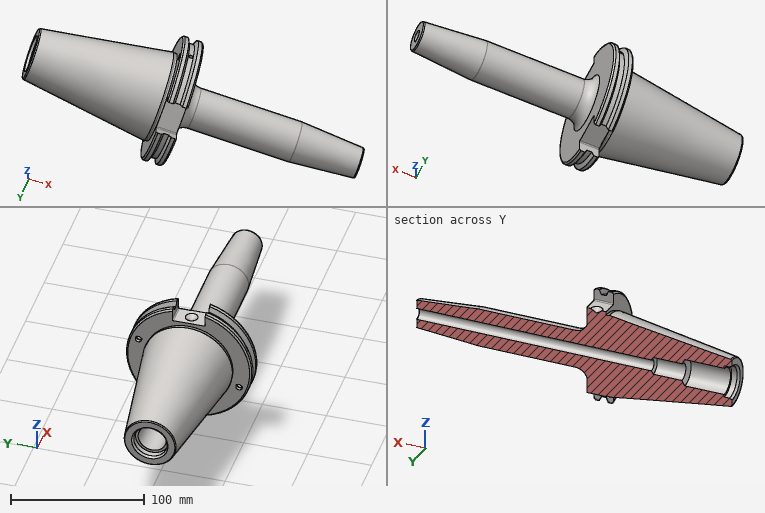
import cadquery as cq
import math

total_length = 261.5
gauge_x = 101.5
flange_start_x = 104.5
flange_end_x = 120.5
flange_middle_x = (flange_start_x + flange_end_x) / 2
nose_start_x = 210.5

taper_small_radius = 20.1
taper_large_radius = 35.0
relief_radius = 69.3 / 2
flange_radius = 98.0 / 2
neck_radius = 32.0 / 2
nose_radius = 12.0

end_chamfer_length = 1.0
end_chamfer_height = 0.5
flange_chamfer = 1.3
relief_step_length = 1.3
neck_fillet_radius = 10.0
neck_fillet_length = 9.5

groove_floor_radius = 45.3
groove_floor_width = 4.0
groove_mouth_width = 7.5

slot_width = 25.6
slot_corner_radius = 0.8
upper_slot_floor = 37.5
lower_slot_floor = 35.3
slot_hole_diameter = 9.5
slot_hole_point_angle = 118

mouth_diameter = 28.5
mouth_chamfer_length = 2.0
pilot_diameter = 26.2
pilot_depth = 6.5
thread_diameter = 22.0
thread_depth = 39.2
step_diameter = 13.9
step_depth = 65.5
through_diameter = 9.0
bore_cone_angle = 118

coolant_angle = 20
coolant_circle_radius = 41.9
coolant_mouth_diameter = 5.0
coolant_mouth_depth = 2.5
coolant_axial_diameter = 4.2
coolant_radial_diameter = 3.1


def make_body():
    """Taper, flange, neck and nose as one turned solid."""
    taper_slope = (taper_large_radius - taper_small_radius) / gauge_x
    taper_at_chamfer = taper_small_radius + taper_slope * end_chamfer_length
    fillet_end_x = flange_end_x + neck_fillet_length
    fillet_center_r = neck_radius + neck_fillet_radius
    fillet_start_r = fillet_center_r - math.sqrt(neck_fillet_radius**2 - neck_fillet_length**2)
    half_sweep = math.asin(neck_fillet_length / neck_fillet_radius) / 2
    fillet_middle = (
        fillet_end_x - neck_fillet_radius * math.sin(half_sweep),
        fillet_center_r - neck_fillet_radius * math.cos(half_sweep),
    )
    profile = (
        cq.Workplane("XY")
        .moveTo(0, 0)
        .lineTo(0, taper_small_radius - end_chamfer_height)
        .lineTo(end_chamfer_length, taper_at_chamfer)
        .lineTo(gauge_x, taper_large_radius)
        .lineTo(gauge_x + relief_step_length, relief_radius)
        .lineTo(flange_start_x, relief_radius)
        .lineTo(flange_start_x, flange_radius - flange_chamfer)
        .lineTo(flange_start_x + flange_chamfer, flange_radius)
        .lineTo(flange_end_x - flange_chamfer, flange_radius)
        .lineTo(flange_end_x, flange_radius - flange_chamfer)
        .lineTo(flange_end_x, fillet_start_r)
        .threePointArc(fillet_middle, (fillet_end_x, neck_radius))
        .lineTo(nose_start_x, neck_radius)
        .lineTo(total_length - end_chamfer_length, nose_radius)
        .lineTo(total_length, nose_radius - end_chamfer_height)
        .lineTo(total_length, 0)
        .close()
    )
    return profile.revolve(360, (0, 0, 0), (1, 0, 0))


def make_groove():
    """Ring with sloping walls, open at the flange rim."""
    half_floor = groove_floor_width / 2
    half_mouth = groove_mouth_width / 2
    return (
        cq.Workplane("XY")
        .moveTo(flange_middle_x - half_floor, groove_floor_radius)
        .lineTo(flange_middle_x + half_floor, groove_floor_radius)
        .lineTo(flange_middle_x + half_mouth, flange_radius)
        .lineTo(flange_middle_x - half_mouth, flange_radius)
        .close()
        .revolve(360, (0, 0, 0), (1, 0, 0))
    )


def make_slot(floor, side):
    """Drive slot through the flange width; side is +1 for up, -1 for down."""
    height = flange_radius - floor
    width = flange_end_x - flange_start_x
    slot = cq.Workplane("XY", origin=(flange_middle_x, 0, floor + height / 2)).box(width, slot_width, height)
    slot = slot.faces("<Z").edges("|X").fillet(slot_corner_radius)
    return slot if side > 0 else slot.mirror("XY")


def make_slot_hole():
    """Conical drill-point hole in the upper slot floor."""
    radius = slot_hole_diameter / 2
    point_depth = radius / math.tan(math.radians(slot_hole_point_angle / 2))
    return (
        cq.Workplane("XZ")
        .moveTo(0, upper_slot_floor)
        .lineTo(radius, upper_slot_floor)
        .lineTo(0, upper_slot_floor - point_depth)
        .close()
        .revolve(360, (0, 0, 0), (0, 1, 0))
        .translate((flange_middle_x, 0, 0))
    )


def cone_length(large_diameter, small_diameter):
    """Axial length of a drilled cone between two bore diameters."""
    return (large_diameter - small_diameter) / 2 / math.tan(math.radians(bore_cone_angle / 2))


def make_bore():
    """Stepped bore along the axis, with drilled cones below the thread and the step."""
    thread_cone_end = thread_depth + cone_length(thread_diameter, step_diameter)
    step_cone_end = step_depth + cone_length(step_diameter, through_diameter)
    return (
        cq.Workplane("XY")
        .moveTo(0, 0)
        .lineTo(0, mouth_diameter / 2)
        .lineTo(mouth_chamfer_length, pilot_diameter / 2)
        .lineTo(pilot_depth, pilot_diameter / 2)
        .lineTo(pilot_depth, thread_diameter / 2)
        .lineTo(thread_depth, thread_diameter / 2)
        .lineTo(thread_cone_end, step_diameter / 2)
        .lineTo(step_depth, step_diameter / 2)
        .lineTo(step_cone_end, through_diameter / 2)
        .lineTo(total_length, through_diameter / 2)
        .lineTo(total_length, 0)
        .close()
        .revolve(360, (0, 0, 0), (1, 0, 0))
    )


def make_coolant_hole():
    """Counterbored axial hole in the flange face, met by a radial hole from the groove."""
    axial = (
        cq.Workplane("YZ", origin=(flange_start_x, 0, 0))
        .center(coolant_circle_radius, 0)
        .circle(coolant_axial_diameter / 2)
        .extrude(flange_middle_x - flange_start_x)
    )
    mouth = (
        cq.Workplane("YZ", origin=(flange_start_x, 0, 0))
        .center(coolant_circle_radius, 0)
        .circle(coolant_mouth_diameter / 2)
        .extrude(coolant_mouth_depth)
    )
    radial = (
        cq.Workplane("XZ", origin=(flange_middle_x, coolant_circle_radius, 0))
        .circle(coolant_radial_diameter / 2)
        .extrude(coolant_circle_radius - flange_radius)
    )
    return axial.union(mouth).union(radial).rotate((0, 0, 0), (1, 0, 0), coolant_angle)


result = make_body().cut(make_groove())
result = result.cut(make_slot(upper_slot_floor, 1)).cut(make_slot(lower_slot_floor, -1))
result = result.cut(make_slot_hole()).cut(make_bore())
for turn in (0, 180):
    result = result.cut(make_coolant_hole().rotate((0, 0, 0), (1, 0, 0), turn))